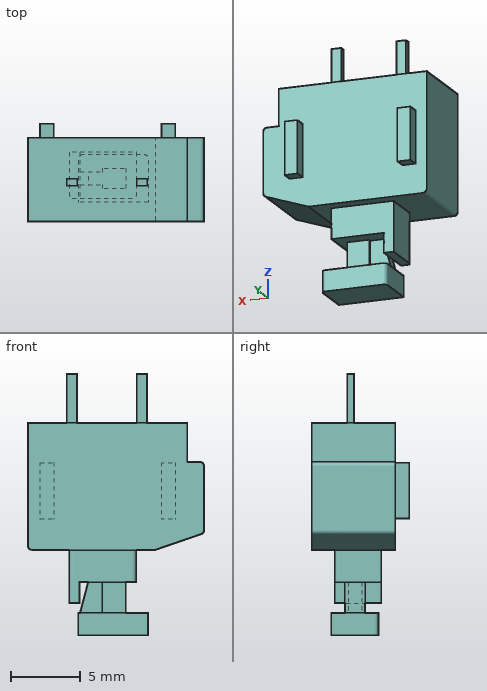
import cadquery as cq


EDGE_RADIUS = 0.3

BODY_LENGTH = 12.6
BODY_DEPTH = 6.0
BODY_HEIGHT = 9.1
SHOULDER_X = 11.4
SHOULDER_Z = 6.3
BEVEL_START_X = 9.1
BEVEL_END_Z = 1.2

PIN_WIDTH = 0.75
PIN_DEPTH = 0.5
PIN_LENGTH = 3.5
PIN_PITCH = 5.0
FIRST_PIN_X = 3.15
PIN_Y = 2.8

LUG_WIDTH = 1.0
LUG_LENGTH = 1.0
LUG_HEIGHT = 4.0
LUG_TOP_Z = 6.25
LUG_LEFT_EDGES = (0.85, 9.55)

GUIDE_LEFT = 2.95
GUIDE_RIGHT = 7.75
GUIDE_FRONT = 1.65
GUIDE_BACK = 5.0
GUIDE_HEIGHT = 2.3
LEG_WIDTH = 0.75
LEG_HEIGHT = 3.8

BUTTON_LEFT = 3.6
BUTTON_LENGTH = 5.0
BUTTON_FRONT = 1.4
BUTTON_DEPTH = 3.4
BUTTON_TOP_Z = -4.5
BUTTON_HEIGHT = 1.6

STEM_LEFT = 5.3
STEM_RIGHT = 7.0
STEM_DEPTH = 1.45
WEB_DEPTH = 0.95
WEB_TOP_LEFT = 4.3
WEB_BOTTOM_LEFT = 3.72
STEM_Y = BUTTON_FRONT + BUTTON_DEPTH / 2


def box(x, y, z, length, depth, height):
    """Box whose lowest corner is at (x, y, z)."""
    return cq.Workplane("XY").box(length, depth, height, centered=False).translate((x, y, z))


def prism(points, front, depth):
    """Extrude an XZ outline backwards (+Y) from Y = front."""
    return cq.Workplane("XZ", origin=(0, front, 0)).polyline(points).close().extrude(-depth)


def make_body():
    outline = [
        (0, 0),
        (BEVEL_START_X, 0),
        (BODY_LENGTH, BEVEL_END_Z),
        (BODY_LENGTH, SHOULDER_Z),
        (SHOULDER_X, SHOULDER_Z),
        (SHOULDER_X, BODY_HEIGHT),
        (0, BODY_HEIGHT),
    ]
    body = prism(outline, 0, BODY_DEPTH)
    right_edges = body.faces(">X").edges("|Y")
    lower_left_edge = body.faces("<X").edges("|Y and <Z")
    return body.newObject(right_edges.vals() + lower_left_edge.vals()).fillet(EDGE_RADIUS)


def make_pin(center_x):
    left = center_x - PIN_WIDTH / 2
    front = PIN_Y - PIN_DEPTH / 2
    return box(left, front, BODY_HEIGHT, PIN_WIDTH, PIN_DEPTH, PIN_LENGTH)


def make_lug(left):
    return box(left, BODY_DEPTH, LUG_TOP_Z - LUG_HEIGHT, LUG_WIDTH, LUG_LENGTH, LUG_HEIGHT)


def make_guide():
    leg_right = GUIDE_LEFT + LEG_WIDTH
    outline = [
        (GUIDE_LEFT, 0),
        (GUIDE_RIGHT, 0),
        (GUIDE_RIGHT, -GUIDE_HEIGHT),
        (leg_right, -GUIDE_HEIGHT),
        (leg_right, -LEG_HEIGHT),
        (GUIDE_LEFT, -LEG_HEIGHT),
    ]
    guide = prism(outline, GUIDE_FRONT, GUIDE_BACK - GUIDE_FRONT)
    outer_edges = []
    for side in ("<X", ">X"):
        outer_edges += guide.faces(side).edges("|Z and <Y").vals()
    return guide.newObject(outer_edges).fillet(EDGE_RADIUS)


def make_button():
    bottom = BUTTON_TOP_Z - BUTTON_HEIGHT
    button = box(BUTTON_LEFT, BUTTON_FRONT, bottom, BUTTON_LENGTH, BUTTON_DEPTH, BUTTON_HEIGHT)
    return button.faces(">Y").edges("|Z").fillet(EDGE_RADIUS)


def make_stem():
    stem_height = -GUIDE_HEIGHT - BUTTON_TOP_Z
    block_front = STEM_Y - STEM_DEPTH / 2
    block = box(STEM_LEFT, block_front, BUTTON_TOP_Z, STEM_RIGHT - STEM_LEFT, STEM_DEPTH, stem_height)
    web_outline = [
        (WEB_BOTTOM_LEFT, BUTTON_TOP_Z),
        (STEM_LEFT, BUTTON_TOP_Z),
        (STEM_LEFT, -GUIDE_HEIGHT),
        (WEB_TOP_LEFT, -GUIDE_HEIGHT),
    ]
    return block.union(prism(web_outline, STEM_Y - WEB_DEPTH / 2, WEB_DEPTH))


result = make_body().union(make_guide()).union(make_stem()).union(make_button())
for pin_center in (FIRST_PIN_X, FIRST_PIN_X + PIN_PITCH):
    result = result.union(make_pin(pin_center))
for lug_left in LUG_LEFT_EDGES:
    result = result.union(make_lug(lug_left))